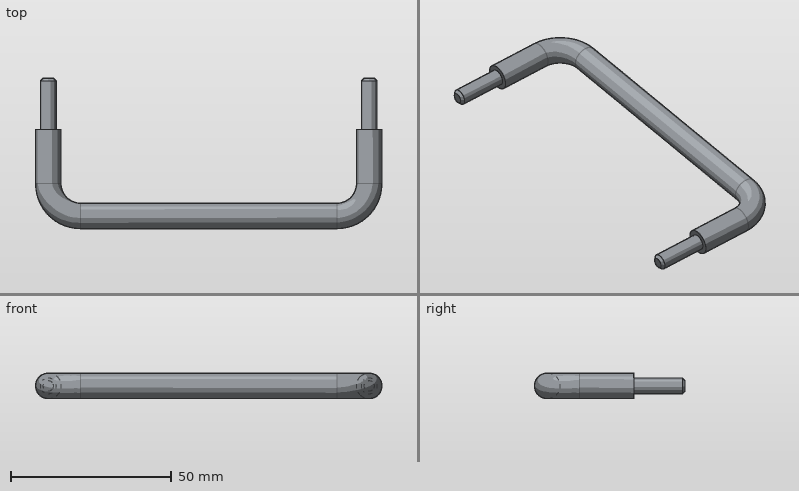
import cadquery as cq

overall_width = 108.0
overall_depth = 47.0
bar_diameter = 8.0
bend_radius = 10.0
stud_diameter = 5.0
stud_length = 16.0
stud_chamfer = 0.9

bar_radius = bar_diameter / 2
leg_x = overall_width / 2 - bar_radius
leg_end_y = overall_depth - stud_length - bar_radius


def bent_bar():
    """Round bar swept along a U-shaped path with two rounded corners."""
    grip_end_x = leg_x - bend_radius
    path = (
        cq.Workplane("XY")
        .moveTo(-leg_x, leg_end_y)
        .lineTo(-leg_x, bend_radius)
        .radiusArc((-grip_end_x, 0), -bend_radius)
        .lineTo(grip_end_x, 0)
        .radiusArc((leg_x, bend_radius), -bend_radius)
        .lineTo(leg_x, leg_end_y)
    )
    start_plane = cq.Plane(origin=(-leg_x, leg_end_y, 0), xDir=(1, 0, 0), normal=(0, -1, 0))
    return cq.Workplane(start_plane).circle(bar_radius).sweep(path)


def stud(x):
    """Mounting stud on the end of a leg, chamfered at its free end."""
    end_plane = cq.Plane(origin=(x, leg_end_y, 0), xDir=(1, 0, 0), normal=(0, 1, 0))
    return (
        cq.Workplane(end_plane)
        .circle(stud_diameter / 2)
        .extrude(stud_length)
        .faces(">Y")
        .chamfer(stud_chamfer)
    )


result = bent_bar()
for side in (-1, 1):
    result = result.union(stud(side * leg_x))